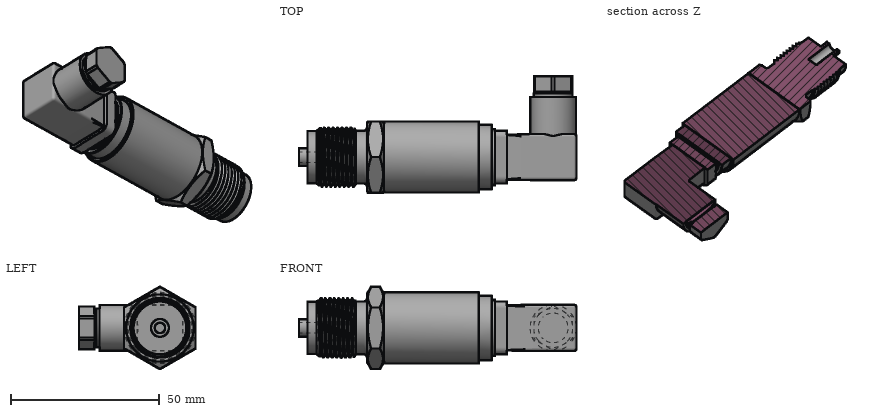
import cadquery as cq
import math


TAN_30 = math.tan(math.radians(30))
COS_30 = math.cos(math.radians(30))

nose_end = 2.9
thread_start = 5.95
thread_end = 19.2
hex_start = 22.85
hex_end = 28.7

nose_dia = 6.0
bore_dia = 3.5
bore_depth = 10.0
collar_dia = 17.7
core_dia = 18.14
relief_dia = 17.85
hex_across_flats = 24.0
hex_chamfer_dia = 22.65
relief_fillet = 0.9

thread_dia = 20.0
thread_pitch = 1.5
root_width = thread_pitch / 8
groove_overshoot = 0.1
run_in_length = 1.6
run_out_length = 0.8
groove_start = 5.25

housing_dia = 24.0
housing_end = 60.65
housing_chamfer = 0.2
adapter_dia = 21.8
adapter_end = 65.0
adapter_chamfer = 0.2
gasket_dia = 19.0
gasket_end = 65.9

base_size = 17.85
base_end = 69.9
base_corner_radius = 2.3

shell_end = 93.41
shell_size = 15.6
shell_edge_radius = 1.0
taper_depth = 0.2
side_taper_end = 78.9
top_taper_end = 75.0

outlet_x = 85.5
outlet_dia = 15.5
outlet_end = 20.25
sleeve_collar_end = 21.4
nut_start = 22.05
nut_end = 27.25
sleeve_collar_dia = 13.1
sleeve_neck_dia = 10.0
nut_across_flats = 13.05
nut_corner_dia = 14.5


def disc_x(start, end, diameter):
    """Cylinder on the main axis between two X stations."""
    return cq.Workplane("YZ", origin=(start, 0, 0)).circle(diameter / 2).extrude(end - start)


def disc_outlet(start, end, diameter):
    """Cylinder on the cable outlet axis between two Y stations."""
    plane = cq.Plane(origin=(outlet_x, start, 0), xDir=(1, 0, 0), normal=(0, 1, 0))
    return cq.Workplane(plane).circle(diameter / 2).extrude(end - start)


def revolve_x(points):
    """Turn an (X, radius) outline about the main axis."""
    return cq.Workplane("XY").polyline(points).close().revolve(360, (0, 0, 0), (1, 0, 0))


def make_thread_groove():
    """Helical V-groove that starts at the +Z side and overshoots both ends of the thread."""
    root_radius = core_dia / 2
    outer_radius = thread_dia / 2 + groove_overshoot
    outer_width = root_width + 2 * (outer_radius - root_radius) * TAN_30
    helix_length = thread_end - groove_start + thread_pitch
    helix = cq.Wire.makeHelix(thread_pitch, helix_length, root_radius)
    return (
        cq.Workplane("XZ")
        .moveTo(root_radius, -root_width / 2)
        .lineTo(outer_radius, -outer_width / 2)
        .lineTo(outer_radius, outer_width / 2)
        .lineTo(root_radius, root_width / 2)
        .close()
        .sweep(cq.Workplane(helix), isFrenet=True)
        .rotate((0, 0, 0), (0, 1, 0), 90)
        .rotate((0, 0, 0), (1, 0, 0), 180)
        .translate((groove_start, 0, 0))
    )


def make_hex():
    """Wrench hexagon with corners on +Z and -Z and 30 degree chamfers at both ends."""
    corner_dia = hex_across_flats / COS_30
    prism = (
        cq.Workplane("YZ", origin=(hex_start, 0, 0))
        .polygon(6, corner_dia)
        .extrude(hex_end - hex_start)
        .rotate((0, 0, 0), (1, 0, 0), 90)
    )
    chamfer_radius = hex_chamfer_dia / 2
    corner_radius = corner_dia / 2
    chamfer_length = (corner_radius - chamfer_radius) * TAN_30
    chamfer_envelope = revolve_x([
        (hex_start, 0),
        (hex_start, chamfer_radius),
        (hex_start + chamfer_length, corner_radius),
        (hex_end - chamfer_length, corner_radius),
        (hex_end, chamfer_radius),
        (hex_end, 0),
    ])
    return prism.intersect(chamfer_envelope)


def make_pressure_port():
    """Nose, collar, threaded stem, thread relief and wrench hexagon, bored from the nose tip."""
    crest_radius = thread_dia / 2
    relief_radius = relief_dia / 2
    stem = (
        cq.Workplane("XY")
        .moveTo(0, 0)
        .lineTo(0, nose_dia / 2)
        .lineTo(nose_end, nose_dia / 2)
        .lineTo(nose_end, collar_dia / 2)
        .lineTo(thread_start, collar_dia / 2)
        .lineTo(thread_start + run_in_length, crest_radius)
        .lineTo(thread_end - run_out_length, crest_radius)
        .lineTo(thread_end, relief_radius)
        .lineTo(hex_start - relief_fillet, relief_radius)
        .radiusArc((hex_start, relief_radius + relief_fillet), -relief_fillet)
        .lineTo(hex_start, 0)
        .close()
        .revolve(360, (0, 0, 0), (1, 0, 0))
        .rotate((0, 0, 0), (1, 0, 0), -90)
    )
    bore = disc_x(0, bore_depth, bore_dia)
    threaded_stem = stem.cut(make_thread_groove(), clean=False)
    return threaded_stem.union(make_hex(), clean=False).cut(bore, clean=False)


def make_sensor_housing():
    """Round housing behind the hexagon."""
    return disc_x(hex_end, housing_end, housing_dia).faces(">X").chamfer(housing_chamfer)


def make_adapter_ring():
    """Stepped-down ring between the housing and the gasket."""
    return disc_x(housing_end, adapter_end, adapter_dia).faces(">X").chamfer(adapter_chamfer)


def make_gasket():
    """Thin round gasket under the connector base."""
    return disc_x(adapter_end, gasket_end, gasket_dia)


def make_connector_base():
    """Square base plate with rounded corners."""
    return (
        cq.Workplane("YZ", origin=(gasket_end, 0, 0))
        .rect(base_size, base_size)
        .extrude(base_end - gasket_end)
        .edges("|X")
        .fillet(base_corner_radius)
    )


def make_taper_cutter(taper_end):
    """Wedge that thins the +Y side of the shell towards the base."""
    half_size = shell_size / 2
    return (
        cq.Workplane("XY", origin=(0, 0, -shell_size))
        .polyline([
            (base_end, half_size - taper_depth),
            (taper_end, half_size),
            (base_end, half_size),
        ])
        .close()
        .extrude(2 * shell_size)
    )


def make_connector_shell():
    """Square shell, slightly tapered near the base, with the round cable outlet."""
    shell = (
        cq.Workplane("YZ", origin=(base_end, 0, 0))
        .rect(shell_size, shell_size)
        .extrude(shell_end - base_end)
        .edges("|X or >X")
        .fillet(shell_edge_radius)
    )
    outlet = disc_outlet(0, outlet_end, outlet_dia)
    for quarter_turn in range(4):
        taper_end = top_taper_end if quarter_turn % 2 else side_taper_end
        cutter = make_taper_cutter(taper_end)
        shell = shell.cut(cutter.rotate((0, 0, 0), (1, 0, 0), 90 * quarter_turn))
    return shell.union(outlet)


def make_gland_sleeve():
    """Collar and neck that carry the gland nut."""
    collar = disc_outlet(outlet_end, sleeve_collar_end, sleeve_collar_dia)
    neck = disc_outlet(sleeve_collar_end, nut_start, sleeve_neck_dia)
    return collar.union(neck)


def make_gland_nut():
    """Hexagon nut with corners on +Z and -Z, trimmed to a flat at each corner."""
    corner_dia = nut_across_flats / COS_30
    plane = cq.Plane(origin=(outlet_x, nut_start, 0), xDir=(0, 0, 1), normal=(0, 1, 0))
    length = nut_end - nut_start
    prism = cq.Workplane(plane).polygon(6, corner_dia).extrude(length)
    trim = (
        cq.Workplane(plane)
        .transformed(rotate=(0, 0, 30))
        .polygon(6, nut_corner_dia / COS_30)
        .extrude(length)
    )
    return prism.intersect(trim)


pressure_port = make_pressure_port()
sensor_housing = make_sensor_housing()
adapter_ring = make_adapter_ring()
gasket = make_gasket()
connector_base = make_connector_base()
connector_shell = make_connector_shell()
gland_sleeve = make_gland_sleeve()
gland_nut = make_gland_nut()

result = cq.Compound.makeCompound([
    pressure_port.val(),
    sensor_housing.val(),
    adapter_ring.val(),
    gasket.val(),
    connector_base.val(),
    connector_shell.val(),
    gland_sleeve.val(),
    gland_nut.val(),
])